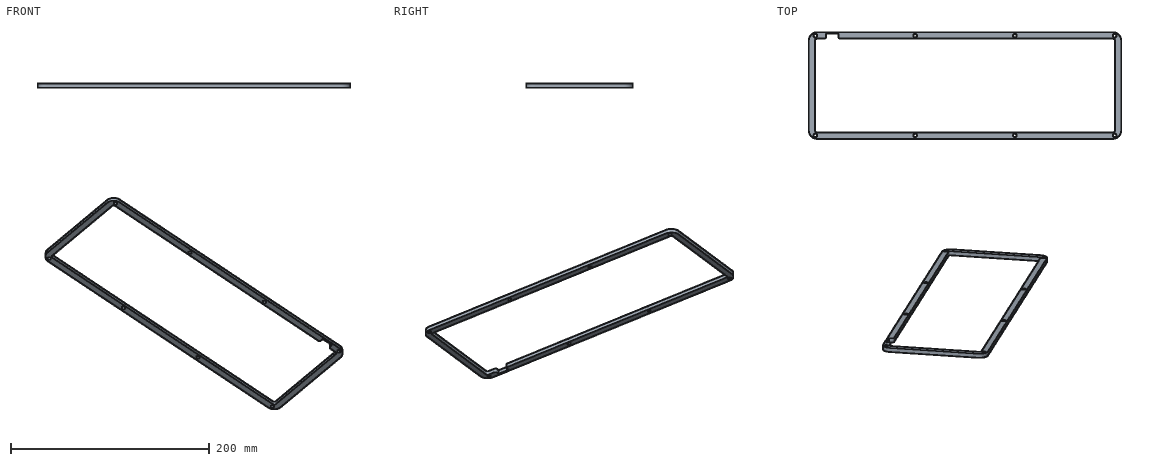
import cadquery as cq

length = 315.7
width = 108.0
thickness = 4.5
rail_width = 6.5
outer_radius = 8.8
inner_radius = 2.0

hole_diameter = 3.5
hole_pitch = 100.7
holes_per_row = 4
row_spacing = 100.7

notch_start = 17.7
notch_length = 12.3
notch_wall = 2.0
notch_mouth_radius = 2.0


def rounded_plate(size_x, size_y, radius):
    plate = cq.Workplane("XY").rect(size_x, size_y).extrude(thickness)
    return plate.edges("|Z").fillet(radius)


def notch_cutter():
    """Rectangular notch whose mouth flares out with two round corners."""
    left = notch_start - length / 2
    right = left + notch_length
    floor = width / 2 - notch_wall
    mouth = width / 2 - rail_width
    radius = notch_mouth_radius
    return (
        cq.Workplane("XY")
        .moveTo(left, floor)
        .lineTo(left, mouth + radius)
        .radiusArc((left - radius, mouth), radius)
        .lineTo(right + radius, mouth)
        .radiusArc((right, mouth + radius), radius)
        .lineTo(right, floor)
        .close()
        .extrude(thickness)
    )


opening = rounded_plate(length - 2 * rail_width, width - 2 * rail_width, inner_radius)
holes = (
    cq.Workplane("XY")
    .rarray(hole_pitch, row_spacing, holes_per_row, 2)
    .circle(hole_diameter / 2)
    .extrude(thickness)
)

frame = rounded_plate(length, width, outer_radius)
result = frame.cut(opening).cut(notch_cutter()).cut(holes)